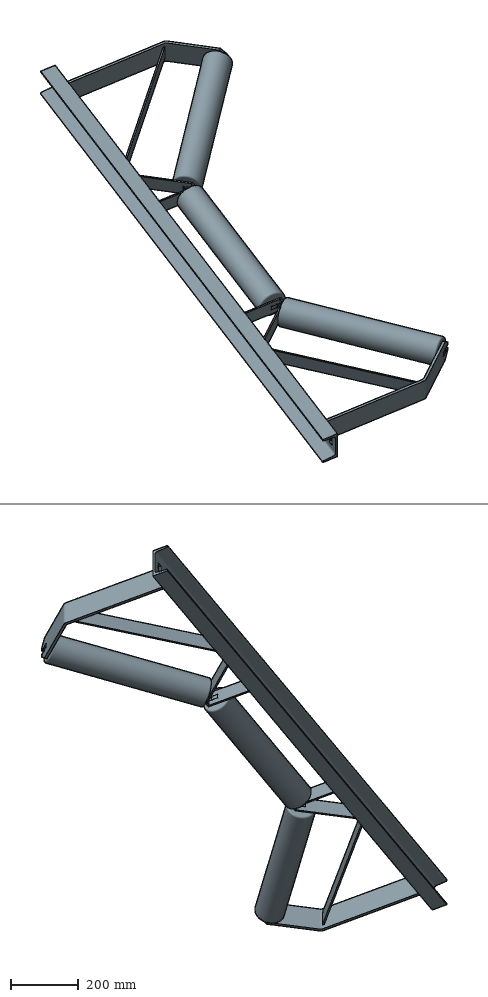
import cadquery as cq
import math

beam_length = 1700.0
beam_height = 100.0
beam_depth = 50.0
beam_bottom_z = 14.0
web_thickness = 7.0
flange_tip_thickness = 7.0
flange_root_thickness = 10.0
flange_root_radius = 8.0
flange_tip_radius = 3.0
mount_slot_width = 15.0
mount_slot_height = 30.0
mount_slot_inset = 29.0

roller_radius = 45.0
roller_length = 500.0
roller_end_fillet = 5.0
shaft_end_height = 20.0
shaft_end_width = 14.0
trough_angle = 40.0
tilt_angle = 2.0
centre_axis_y = 168.0
side_inner_end = (-289.0, 180.0)

side_clearance = 3.0
centre_clearance = 5.0
outer_bracket_height = 80.0
outer_bracket_thickness = 8.0
outer_bracket_leg_x = -784.0
outer_tip_beyond_axis = 27.0
outer_tip_chamfer = 22.0
outer_bend_radius = 17.0
inner_bracket_height = 50.0
inner_bracket_thickness = 5.0
inner_bracket_top_y = 192.0
brace_height = 50.0
brace_thickness = 5.0
brace_foot_x = -427.0

beam_mid_z = beam_bottom_z + beam_height / 2
inner_end_z = roller_radius

sin_trough = math.sin(math.radians(trough_angle))
cos_trough = math.cos(math.radians(trough_angle))
sin_tilt = math.sin(math.radians(tilt_angle))
cos_tilt = math.cos(math.radians(tilt_angle))
outward = (-cos_trough, sin_trough)
upward = (sin_trough, cos_trough)


def step(point, direction, distance):
    """Move a point in the XY plane."""
    return (point[0] + direction[0] * distance, point[1] + direction[1] * distance)


def slide_to_x(point, direction, x):
    return step(point, direction, (x - point[0]) / direction[0])


def slide_to_y(point, direction, y):
    return step(point, direction, (y - point[1]) / direction[1])


side_outer_end = step(side_inner_end, outward, roller_length * cos_tilt)

side_frame = cq.Plane(
    origin=(*side_inner_end, inner_end_z),
    xDir=(*upward, 0),
    normal=(outward[0] * cos_tilt, outward[1] * cos_tilt, sin_tilt),
)
centre_frame = cq.Plane(
    origin=(-roller_length / 2, centre_axis_y, inner_end_z), xDir=(0, 1, 0), normal=(1, 0, 0)
)

outer_plate_inner = step(side_outer_end, outward, side_clearance)
outer_plate_outer = step(outer_plate_inner, outward, outer_bracket_thickness)
outer_leg_inner_x = outer_bracket_leg_x + outer_bracket_thickness
outer_bend_outer = slide_to_x(outer_plate_outer, upward, outer_bracket_leg_x)
outer_bend_inner = slide_to_x(outer_plate_inner, upward, outer_leg_inner_x)


def make_plate(outline, height, mid_z):
    """Upright plate work: an XY outline extruded in Z about a mid height."""
    base = cq.Workplane("XY", origin=(0, 0, mid_z - height / 2))
    return base.polyline(outline).close().extrude(height)


def make_beam():
    half = beam_height / 2
    web_front_y = beam_depth - web_thickness
    root_z = half - flange_root_thickness
    tip_z = half - flange_tip_thickness
    beam = (
        cq.Workplane("YZ", origin=(-beam_length / 2, 0, beam_mid_z))
        .polyline([
            (beam_depth, -half), (0, -half), (0, -tip_z), (web_front_y, -root_z),
            (web_front_y, root_z), (0, tip_z), (0, half), (beam_depth, half),
        ])
        .close()
        .extrude(beam_length)
    )
    for y, z, radius in (
        (web_front_y, root_z, flange_root_radius),
        (0, tip_z, flange_tip_radius),
    ):
        for side in (-1, 1):
            corner = cq.selectors.NearestToPointSelector((0, y, beam_mid_z + side * z))
            beam = beam.edges("|X").edges(corner).fillet(radius)

    slot_x = beam_length / 2 - mount_slot_inset
    mount_slots = (
        cq.Workplane("XZ", origin=(0, 0, beam_mid_z))
        .pushPoints([(-slot_x, 0), (slot_x, 0)])
        .rect(mount_slot_width, mount_slot_height)
        .extrude(-beam_depth)
    )
    return beam.cut(mount_slots)


def make_roller(frame, inner_stub, outer_stub):
    """Roller with a flattened shaft end sticking out of each end face."""
    drum = cq.Workplane(frame).circle(roller_radius).extrude(roller_length)
    drum = drum.edges("%CIRCLE").fillet(roller_end_fillet)
    shaft = (
        cq.Workplane(frame)
        .workplane(offset=-inner_stub)
        .rect(shaft_end_height, shaft_end_width)
        .extrude(inner_stub + roller_length + outer_stub)
    )
    return drum.union(shaft)


def make_shaft_slot(frame, start, depth):
    """Cutter that seats a shaft end and opens towards the frame's x direction."""
    return (
        cq.Workplane(frame)
        .workplane(offset=start)
        .center((roller_radius - shaft_end_height / 2) / 2, 0)
        .rect(roller_radius + shaft_end_height / 2, shaft_end_width)
        .extrude(depth)
    )


def make_outer_bracket():
    """Upright leg, bent over so that its plate faces the outer end of the left roller."""
    outer_tip = step(outer_plate_outer, upward, outer_tip_beyond_axis)
    inner_tip = step(outer_plate_inner, upward, outer_tip_beyond_axis)
    bracket = make_plate(
        [
            (outer_bracket_leg_x, beam_depth), outer_bend_outer, outer_tip,
            inner_tip, outer_bend_inner, (outer_leg_inner_x, beam_depth),
        ],
        outer_bracket_height,
        beam_mid_z,
    )
    for bend, radius in (
        (outer_bend_outer, outer_bend_radius),
        (outer_bend_inner, outer_bend_radius - outer_bracket_thickness),
    ):
        bend_edge = cq.selectors.NearestToPointSelector((*bend, beam_mid_z))
        bracket = bracket.edges("|Z").edges(bend_edge).fillet(radius)
    tip_middle = step(outer_tip, outward, -outer_bracket_thickness / 2)
    for side in (-1, 1):
        corner_z = beam_mid_z + side * outer_bracket_height / 2
        corner = cq.selectors.NearestToPointSelector((*tip_middle, corner_z))
        bracket = bracket.edges(corner).chamfer(outer_tip_chamfer)
    return bracket.cut(make_shaft_slot(side_frame, roller_length, roller_radius))


def make_inner_bracket():
    """Inverted V with a flat top, seating the left roller and the centre roller."""
    plate_outer = step(side_inner_end, outward, -side_clearance)
    plate_inner = step(plate_outer, outward, -inner_bracket_thickness)
    leg_right_x = -roller_length / 2 - centre_clearance
    leg_left_x = leg_right_x - inner_bracket_thickness
    under_top_y = inner_bracket_top_y - inner_bracket_thickness
    bracket = make_plate(
        [
            slide_to_y(plate_outer, upward, beam_depth),
            slide_to_y(plate_outer, upward, inner_bracket_top_y),
            (leg_right_x, inner_bracket_top_y),
            (leg_right_x, beam_depth),
            (leg_left_x, beam_depth),
            (leg_left_x, under_top_y),
            slide_to_y(plate_inner, upward, under_top_y),
            slide_to_y(plate_inner, upward, beam_depth),
        ],
        inner_bracket_height,
        inner_end_z,
    )
    side_depth = side_clearance + inner_bracket_thickness
    centre_depth = centre_clearance + inner_bracket_thickness
    bracket = bracket.cut(make_shaft_slot(side_frame, -side_depth, side_depth))
    return bracket.cut(make_shaft_slot(centre_frame, -centre_depth, centre_depth))


def make_brace():
    """Flat strut from the start of the outer bracket's bend down to the beam."""
    inner_bend_radius = outer_bend_radius - outer_bracket_thickness
    bend_setback = inner_bend_radius * math.tan(math.radians(trough_angle / 2))
    head = (outer_leg_inner_x, outer_bend_inner[1] - bend_setback)
    foot = (brace_foot_x, beam_depth)
    length = math.dist(head, foot)
    along = ((foot[0] - head[0]) / length, (foot[1] - head[1]) / length)
    under_head = (head[0], head[1] - brace_thickness / along[0])
    under_foot = slide_to_y(under_head, along, beam_depth)
    return make_plate([head, foot, under_foot, under_head], brace_height, beam_mid_z)


beam = make_beam()
centre_stub = centre_clearance + inner_bracket_thickness
centre_roller = make_roller(centre_frame, centre_stub, centre_stub)
left_bodies = [
    make_roller(
        side_frame,
        side_clearance + inner_bracket_thickness,
        side_clearance + outer_bracket_thickness,
    ),
    make_outer_bracket(),
    make_inner_bracket(),
    make_brace(),
]

solids = [beam.val(), centre_roller.val()]
for body in left_bodies:
    solids.append(body.val())
    solids.append(body.mirror("YZ").val())

result = cq.Compound.makeCompound(solids)